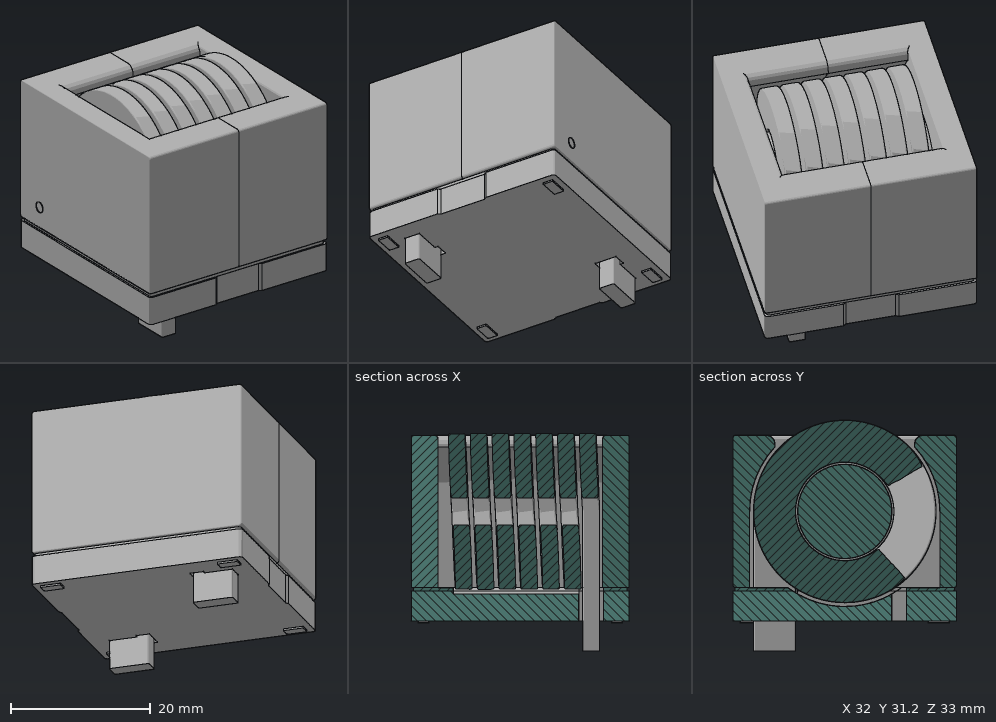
import cadquery as cq
import math

width = 32
depth = 31.2
height = 33

base_bottom = 4.3
base_top = 8.58
core_bottom = 9.05
core_top = 30.85
foot_height = 0.25

axis_height = (core_bottom + core_top) / 2
post_diameter = 13.5
coil_clearance = 0.53
cavity_half_depth = 11.75
long_edge_fillet = 0.45
end_edge_fillet = 0.2
window_half_width = 9.95
window_side_fillet = 1.32
window_end_fillet = 0.55
dot_diameter = 1.62
dot_depth = 0.1
dot_x = -11.25
dot_z = 12.35

coil_radius = height - axis_height
coil_inner_radius = 7.03
wire_width = coil_radius - coil_inner_radius
wire_thickness = 2.45
wire_fillet = 0.23
coil_turns = 6.5
lead_y = 10.13
coil_pitch = 2 * lead_y / coil_turns
wire_middle_radius = (coil_radius + coil_inner_radius) / 2
cavity_radius = coil_radius + coil_clearance

corner_radius = 0.5
spacer_inset = 0.3
recess_floor_width = 7.25
recess_depth = spacer_inset
recess_slope = 0.43
foot_x = 13.43
foot_y = 13.83
foot_length = 3.05
foot_width = 1.55
coil_pocket_half_depth = 9.57
relief_inner_x = post_diameter / 2
relief_width = 2.05
relief_depth = 3.5


def box_between(x_range, y_range, z_range):
    """Box given by its lower and upper limits along each axis."""
    (x0, x1), (y0, y1), (z0, z1) = x_range, y_range, z_range
    return cq.Workplane("XY").box(x1 - x0, y1 - y0, z1 - z0, centered=False).translate((x0, y0, z0))


def cylinder_along_y(radius, half_length):
    """Cylinder round the coil axis, centred on the parting plane."""
    return (
        cq.Workplane("XZ", origin=(0, 0, axis_height))
        .circle(radius)
        .extrude(half_length, both=True)
    )


def flared_profile(plane, half_width, fillet, half_length):
    """Window cross-section with rounded lips at the core top, extruded both ways."""
    lip_bottom = core_top - fillet
    lip_half_width = half_width + fillet
    middle = fillet * (1 - math.cos(math.pi / 4))
    return (
        cq.Workplane(plane)
        .moveTo(-half_width, axis_height)
        .lineTo(-half_width, lip_bottom)
        .threePointArc((-half_width - middle, core_top - middle), (-lip_half_width, core_top))
        .lineTo(lip_half_width, core_top)
        .threePointArc((half_width + middle, core_top - middle), (half_width, lip_bottom))
        .lineTo(half_width, axis_height)
        .close()
        .extrude(half_length, both=True)
    )


def core_window():
    """Top window; its side and end lips meet in mitred corners."""
    sides = flared_profile("XZ", window_half_width, window_side_fillet, depth / 2)
    ends = flared_profile("YZ", cavity_half_depth, window_end_fillet, width / 2)
    return sides.intersect(ends)


def core_cavity():
    """Round coil space, open at full width below the coil axis so the leads can drop out."""
    y_range = (-cavity_half_depth, cavity_half_depth)
    lower = box_between((-cavity_radius, cavity_radius), y_range, (core_bottom, axis_height))
    return cylinder_along_y(cavity_radius, cavity_half_depth).union(lower)


def whole_core():
    """Both halves together: rounded block, coil space, window and centre post."""
    block = box_between((-width / 2, width / 2), (-depth / 2, depth / 2), (core_bottom, core_top))
    block = block.edges("|Y").fillet(long_edge_fillet)
    block = block.faces("<Y or >Y").edges().fillet(end_edge_fillet)
    post = cylinder_along_y(post_diameter / 2, depth / 2 - end_edge_fillet)
    hollow = block.cut(core_cavity()).cut(core_window())
    return hollow.union(post)


def core_half(core, side):
    """Half of the core on the given side of the parting plane: -1 is front, 1 is back."""
    keep = box_between((-width, width), sorted((0, side * depth)), (0, height))
    return core.intersect(keep)


def marking_dot():
    """Cutter for the shallow round mark in the front face."""
    return (
        cq.Workplane("XZ", origin=(0, -depth / 2 + dot_depth, 0))
        .center(dot_x, dot_z)
        .circle(dot_diameter / 2)
        .extrude(depth)
    )


def lead(side):
    """Straight wire end from the coil axis level down; side is -1 for -X, 1 for +X."""
    return (
        cq.Workplane("XY")
        .center(side * wire_middle_radius, -side * lead_y)
        .rect(wire_width, wire_thickness)
        .extrude(axis_height)
        .edges("|Z")
        .fillet(wire_fillet)
    )


def coil_winding():
    """Left-hand helix about Y, starting at the back on the -X side and rising over the top."""
    start = cq.Plane(origin=(0, lead_y, axis_height), xDir=(-1, 0, 0), normal=(0, -1, 0))
    helix = cq.Wire.makeHelix(coil_pitch, coil_pitch * coil_turns, wire_middle_radius, lefthand=True)
    section = cq.Sketch().rect(wire_width, wire_thickness).vertices().fillet(wire_fillet)
    winding = (
        cq.Workplane("XZ")
        .center(wire_middle_radius, 0)
        .placeSketch(section)
        .sweep(cq.Workplane(helix), isFrenet=True)
    )
    return cq.Workplane(winding.val().moved(start.location))


def make_coil():
    """Winding and its two leads, all one wire."""
    return coil_winding().union(lead(-1)).union(lead(1))


def lead_hole(side):
    """Hole fitting one lead, with a wider relief at its inner end."""
    z_range = (0, core_bottom)
    hole = (
        cq.Workplane("XY")
        .center(side * wire_middle_radius, -side * lead_y)
        .rect(wire_width, wire_thickness)
        .extrude(core_bottom)
    )
    relief_x = sorted((side * relief_inner_x, side * (relief_inner_x + relief_width)))
    relief_y = (-side * lead_y - relief_depth / 2, -side * lead_y + relief_depth / 2)
    return hole.union(box_between(relief_x, relief_y, z_range))


def cut_for_coil(body):
    """Clear the underside of the winding and both leads."""
    body = body.cut(cylinder_along_y(cavity_radius, coil_pocket_half_depth))
    for side in (-1, 1):
        body = body.cut(lead_hole(side))
    return body


def rounded_plate(inset, bottom, top):
    """Plate set in from the outer sides, with rounded vertical corners."""
    half_x = width / 2 - inset
    half_y = depth / 2 - inset
    plate = box_between((-half_x, half_x), (-half_y, half_y), (bottom, top))
    return plate.edges("|Z").fillet(corner_radius)


def side_recess(side):
    """Shallow recess with sloping ends in the middle of one X side of the base."""
    outer_x = side * width / 2
    floor_x = side * (width / 2 - recess_depth)
    floor_y = recess_floor_width / 2
    outer_y = floor_y + recess_slope
    return (
        cq.Workplane("XY", origin=(0, 0, base_bottom))
        .polyline([(outer_x, -outer_y), (floor_x, -floor_y), (floor_x, floor_y), (outer_x, outer_y)])
        .close()
        .extrude(base_top - base_bottom)
    )


def make_base():
    """Plate under the core with side recesses, four feet and room for the coil."""
    base = rounded_plate(0, base_bottom, base_top)
    for side in (-1, 1):
        base = base.cut(side_recess(side))
    feet = (
        cq.Workplane("XY", origin=(0, 0, base_bottom - foot_height))
        .rect(2 * foot_x, 2 * foot_y, forConstruction=True)
        .vertices()
        .rect(foot_length, foot_width)
        .extrude(foot_height)
    )
    return cut_for_coil(base.union(feet))


def make_spacer():
    """Thin inset plate between the base and the core."""
    return cut_for_coil(rounded_plate(spacer_inset, base_top, core_bottom))


core = whole_core()
front_core = core_half(core, -1).cut(marking_dot())
back_core = core_half(core, 1)
coil = make_coil()
base = make_base()
spacer = make_spacer()

result = cq.Compound.makeCompound(
    [front_core.val(), back_core.val(), coil.val(), base.val(), spacer.val()]
)